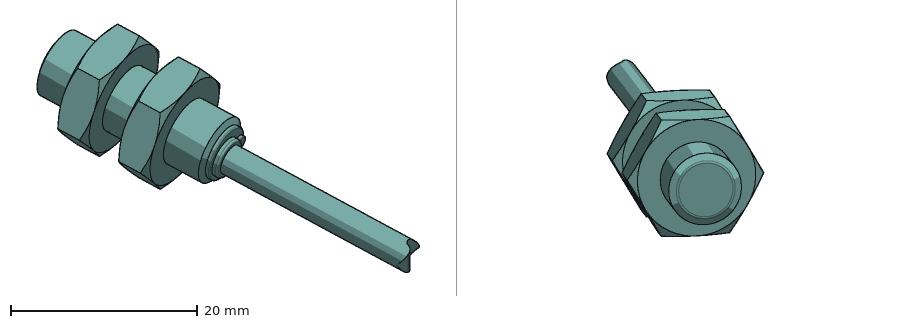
import cadquery as cq
import math

barrel_radius = 8.0 / 2
core_radius = 6.5 / 2
barrel_end = 22.0
core_end = 22.5
barrel_chamfer = 0.42
front_face_radius = 3.1
front_rounding = 0.55
rear_rounding = 0.15

nut_across_flats = 13.0
nut_across_corners = nut_across_flats / math.cos(math.radians(30))
nut_thickness = 4.0
nut_starts = (5.0, 13.0)
nut_chamfer_angle = 30

cable_offset = -0.42
cable_radius = 3.5 / 2
collar_radius = 4.7 / 2
collar_end = 23.2
collar_rounding = 0.3
lamp_radius = 0.75
lamp_top = 2.95
lamp_end = 22.95
lamp_rounding = 0.1

total_length = 47.2
break_wave_depth = 0.55
break_middle = total_length - break_wave_depth
break_near_end = 46.35
break_far_end = 47.1


def cylinder(start, end, radius, y=0):
    """Round bar along X between two stations."""
    return cq.Workplane("YZ", origin=(start, y, 0)).circle(radius).extrude(end - start)


def make_barrel():
    """Chamfered barrel and rear core turned in one profile."""
    profile = [
        (0, 0),
        (0, front_face_radius),
        (barrel_chamfer, barrel_radius),
        (barrel_end - barrel_chamfer, barrel_radius),
        (barrel_end, core_radius),
        (core_end, core_radius),
        (core_end, 0),
    ]
    barrel = cq.Workplane("XY").polyline(profile).close().revolve(360, (0, 0, 0), (1, 0, 0))
    barrel = barrel.faces("<X").edges().fillet(front_rounding)
    return barrel.faces(">X").edges().fillet(rear_rounding)


def make_nut(start):
    """Hexagon with corners on +Y and -Y, bevelled by a cone on both faces."""
    hexagon = (
        cq.Workplane("YZ", origin=(start, 0, 0))
        .polygon(6, nut_across_corners)
        .extrude(nut_thickness)
    )
    face_radius = nut_across_flats / 2
    corner_radius = nut_across_corners / 2
    bevel = (corner_radius - face_radius) * math.tan(math.radians(nut_chamfer_angle))
    end = start + nut_thickness
    envelope = (
        cq.Workplane("XY")
        .polyline([
            (start, 0),
            (start, face_radius),
            (start + bevel, corner_radius),
            (end - bevel, corner_radius),
            (end, face_radius),
            (end, 0),
        ])
        .close()
        .revolve(360, (0, 0, 0), (1, 0, 0))
    )
    return hexagon.intersect(envelope)


def make_cable():
    """Cable whose free end is cut along Z by an S-shaped wave."""
    near_side = cable_offset - cable_radius
    far_side = cable_offset + cable_radius
    outline = (
        cq.Workplane("XY", origin=(0, 0, -cable_radius))
        .moveTo(core_end, near_side)
        .lineTo(break_near_end, near_side)
        .threePointArc((total_length, cable_offset - cable_radius / 2), (break_middle, cable_offset))
        .threePointArc(
            (break_middle - break_wave_depth, cable_offset + cable_radius / 2),
            (break_far_end, far_side),
        )
        .lineTo(core_end, far_side)
        .close()
        .extrude(2 * cable_radius)
    )
    return cylinder(core_end, total_length, cable_radius, cable_offset).intersect(outline)


collar = cylinder(core_end, collar_end, collar_radius, cable_offset)
collar = collar.faces(">X").edges().fillet(collar_rounding)
lamp = cylinder(core_end, lamp_end, lamp_radius, lamp_top - lamp_radius)
lamp = lamp.faces(">X").edges().fillet(lamp_rounding)

result = make_barrel().union(collar).union(lamp).union(make_cable())
for nut_start in nut_starts:
    result = result.union(make_nut(nut_start))